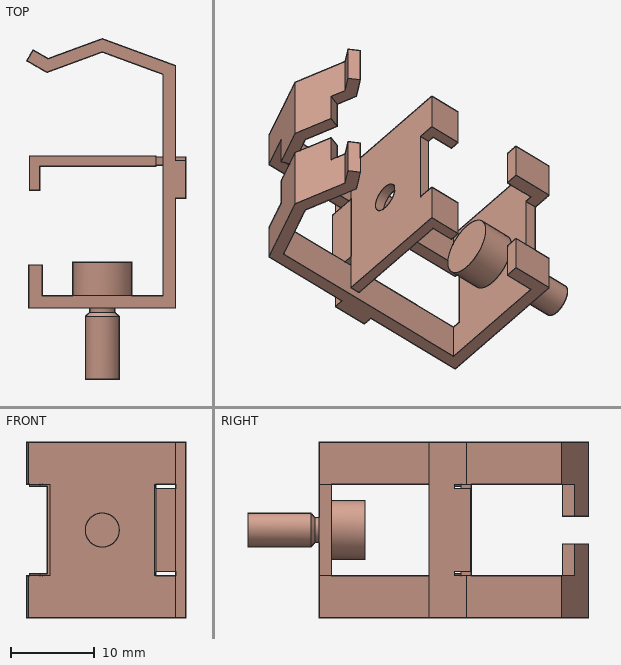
import cadquery as cq
import math

height = 21.0

wall = 1.5
frame_right = 8.75
frame_left = -8.8
lip_thickness = 1.63
lip_length = 5.15
window_height = 10.9
front_notch_x = 6.22

peak_y = 32.15
shoulder_y = 28.95
bend_x = -6.45
tip_length = 2.07
tip_angle = math.radians(30)
jaw_gap = 3.3
jaw_reach = 4.95

plate_thickness = 1.25
plate_back = 18.18
plate_left = -8.7
plate_right = 6.4
plate_lip_end = 14.05
plate_notch_x = -6.6
plate_notch_height = 10.4
plate_hole_diameter = 3.58

tongue_height = 9.92
tongue_thickness = 1.0
tongue_back = 18.05
flange_right = 9.95
flange_front = 13.1
flange_back = 17.6
relief_front = 16.2

head_radius = 3.55
head_height = 4.0
neck_radius = 1.5
neck_length = 0.5
shank_radius = 2.05
shank_start = 0.98
shank_end = 8.5

arm_angle = math.atan2(peak_y - shoulder_y, frame_right)


def block(x_min, x_max, y_min, y_max, block_height=height):
    """Box centred on mid-height."""
    return (
        cq.Workplane("XY")
        .box(x_max - x_min, y_max - y_min, block_height)
        .translate(((x_min + x_max) / 2, (y_min + y_max) / 2, 0))
    )


def prism(points, prism_height=height):
    """Extruded outline centred on mid-height."""
    return cq.Workplane("XY").polyline(points).close().extrude(prism_height / 2, both=True)


def make_arm():
    """Roof-shaped spring arm with an outward-bent tip and a narrow gap between its jaws."""
    slope = math.tan(arm_angle)
    drop = wall / math.cos(arm_angle)
    bend_y = peak_y + bend_x * slope
    bend_mitre = wall / math.cos((arm_angle + tip_angle) / 2)
    bend_lean = (arm_angle - tip_angle) / 2
    tip_x = bend_x - tip_length * math.cos(tip_angle)
    tip_y = bend_y + tip_length * math.sin(tip_angle)
    inner_right = frame_right - wall
    arm = prism([
        (frame_right, shoulder_y),
        (0, peak_y),
        (bend_x, bend_y),
        (tip_x, tip_y),
        (tip_x - wall * math.sin(tip_angle), tip_y - wall * math.cos(tip_angle)),
        (bend_x + bend_mitre * math.sin(bend_lean), bend_y - bend_mitre * math.cos(bend_lean)),
        (0, peak_y - drop),
        (inner_right, peak_y - inner_right * slope - drop),
        (inner_right, wall),
        (frame_right, wall),
    ])

    jaw_x = jaw_reach * math.cos(arm_angle)
    jaw_y = peak_y - jaw_reach * math.sin(arm_angle)
    jaw_inner_x = jaw_x - wall * math.sin(arm_angle)
    jaw_inner_y = jaw_y - wall * math.cos(arm_angle)
    jaws = prism([
        (-jaw_x, jaw_y),
        (0, peak_y),
        (jaw_x, jaw_y),
        (jaw_inner_x, jaw_inner_y),
        (0, peak_y - drop),
        (-jaw_inner_x, jaw_inner_y),
    ])
    window = block(2 * frame_left, 2 * frame_right, wall, peak_y, window_height)
    gap = block(2 * frame_left, 2 * frame_right, wall, peak_y, jaw_gap)
    return arm.cut(window).union(jaws.cut(gap))


def make_frame():
    """Front wall with side lips, joined to the arm by the split right wall."""
    front = block(frame_left, frame_right, 0, wall)
    lip = block(frame_left, frame_left + lip_thickness, 0, lip_length)
    left_notch = block(frame_left, -front_notch_x, 0, lip_length, window_height)
    right_notch = block(front_notch_x, frame_right, 0, wall, window_height)
    return front.union(lip).cut(left_notch).cut(right_notch).union(make_arm())


def make_plate():
    """Cross plate with a pair of lips and a tongue passing out through the frame."""
    plate_front = plate_back - plate_thickness
    plate = block(plate_left, plate_right, plate_front, plate_back)
    lip = block(plate_left, plate_left + plate_thickness, plate_lip_end, plate_back)
    notch = block(plate_left, plate_notch_x, plate_lip_end, plate_back, plate_notch_height)
    hole = (
        cq.Workplane("XZ", origin=(0, plate_back, 0))
        .circle(plate_hole_diameter / 2)
        .extrude(plate_thickness)
    )
    tongue = block(plate_right, flange_right, tongue_back - tongue_thickness, tongue_back, tongue_height)
    flange = block(frame_right, flange_right, flange_front, flange_back)
    relief = block(frame_right, flange_right, relief_front, flange_back, window_height)
    relief = relief.cut(block(frame_right, flange_right, relief_front, flange_back, tongue_height))
    return plate.union(lip).cut(notch).cut(hole).union(tongue).union(flange.cut(relief))


def make_screw():
    """Headed screw along Y with an undercut neck and a bevelled shank."""
    profile = [
        (0, wall + head_height),
        (head_radius, wall + head_height),
        (head_radius, wall),
        (neck_radius, wall),
        (neck_radius, -neck_length),
        (shank_radius, -shank_start),
        (shank_radius, -shank_end),
        (0, -shank_end),
    ]
    return cq.Workplane("XY").polyline(profile).close().revolve(360, (0, 0, 0), (0, 1, 0))


result = make_frame().union(make_plate()).union(make_screw())